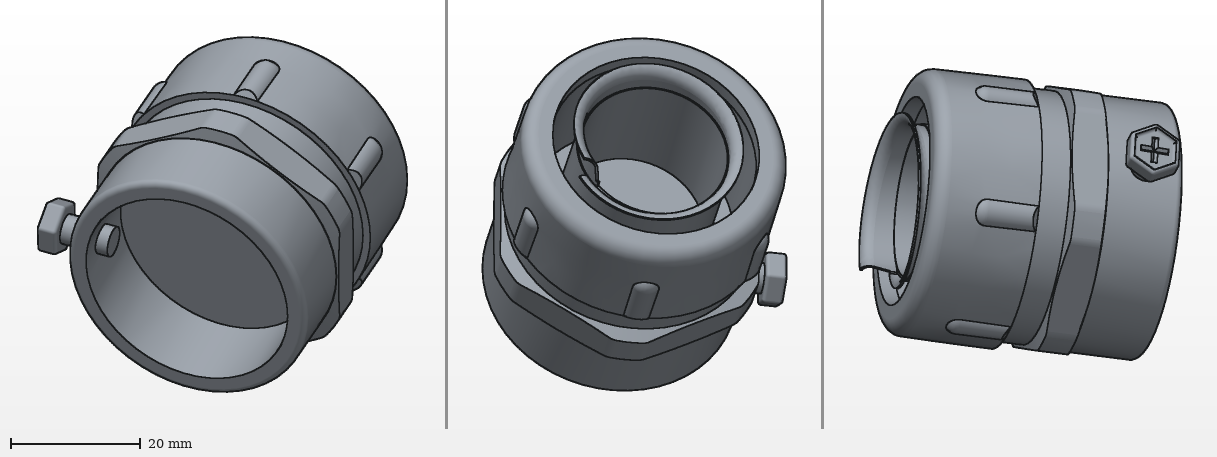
import cadquery as cq
import math


tube_radius = 40.1 / 2
tube_fillet = 1.0
bore_radius = 33.95 / 2
bore_depth = 13.35
flange_front = 11.95
flange_back = 17.95
flange_across_flats = 40.65
flange_radius = 44.15 / 2
flange_edge_fillet = 2.85
flange_chamfer_length = 0.55
flange_chamfer_radius = 20.0
neck_radius = 39.6 / 2
mouth_radius = 32.5 / 2

cap_front = 22.8
cap_back = 39.5
cap_front_radius = 21.0
cap_back_radius = 20.85
cap_fillet = 2.35
cap_lip_thickness = 2.65
neck_back = cap_back - cap_lip_thickness
rib_count = 6
rib_radius = 5.0 / 2
rib_top_radius = 21.9
rib_shoulder = 30.95
rib_end_fillet = 1.9

screw_y = 6.05
screw_radius = 4.8 / 2
screw_tip_x = -14.95
head_inner_x = -22.95
head_outer_x = -26.2
head_across_flats = 7.85
head_turn = 3.0
head_fillet = 0.55
head_rim = 0.65
dish_depth = 0.5
dish_fillet = 0.45
cross_length = 4.4
cross_width = 1.0
cross_depth = 0.5

ferrule_radius = 12.05
ferrule_wall = 0.35
ferrule_base = flange_back
collar_step = 0.2
flare_radius = 1.5
flare_pitch = 4.68
flare_end_y = 43.35
flare_end_angle = 29.0
flare_skirt = 3.55
flare_overrun = 12.0
end_cut_z = -6.25
end_cut_slope = 17.0
end_cut_depth = 4.05
end_cut_inner_x = 7.1


def revolved(points):
    """Solid of revolution about Y from (radius, y) corner points."""
    return cq.Workplane("XY").polyline(points).close().revolve(360, (0, 0, 0), (0, 1, 0))


def cylinder(radius, y_start, y_end):
    """Cylinder on the main axis between two Y positions."""
    return revolved([(0, y_start), (radius, y_start), (radius, y_end), (0, y_end)])


def make_screw_shaft():
    return cq.Workplane("YZ", origin=(head_inner_x, screw_y, 0)).circle(screw_radius).extrude(
        screw_tip_x - head_inner_x
    )


def make_flange():
    """Hexagon with six rounded-off corners, two of them at +Z and -Z, bevelled on both ends."""
    thickness = flange_back - flange_front
    corner_diameter = flange_across_flats / math.cos(math.pi / 6)
    hexagon = (
        cq.Workplane("XZ", origin=(0, flange_back, 0))
        .polygon(6, corner_diameter)
        .extrude(thickness)
        .rotate((0, 0, 0), (0, 1, 0), 30)
    )
    blank = hexagon.intersect(cylinder(flange_radius, flange_front, flange_back))
    blank = blank.edges("|Y").fillet(flange_edge_fillet)
    bevels = revolved([
        (0, flange_front),
        (flange_chamfer_radius, flange_front),
        (flange_radius, flange_front + flange_chamfer_length),
        (flange_radius, flange_back - flange_chamfer_length),
        (flange_chamfer_radius, flange_back),
        (0, flange_back),
    ])
    return blank.intersect(bevels)


def make_housing():
    tube = cylinder(tube_radius, 0, flange_front).faces("<Y").edges().fillet(tube_fillet)
    neck = cylinder(neck_radius, flange_front, neck_back)
    body = tube.union(neck).union(make_flange())
    front_bore = cylinder(bore_radius, 0, bore_depth)
    back_socket = cylinder(mouth_radius, flange_back, neck_back)
    return body.cut(front_bore).cut(back_socket).cut(make_screw_shaft())


def make_rib(angle):
    """Round-backed grip rib with a domed back end, standing on the cap at an angle from +Z."""
    axis_radius = rib_top_radius - rib_radius
    rib_back = rib_shoulder + rib_end_fillet
    bar = (
        cq.Workplane("XZ", origin=(0, rib_back, axis_radius))
        .circle(rib_radius)
        .extrude(rib_back - cap_front)
    )
    bar = bar.faces(">Y").edges().fillet(rib_end_fillet)
    return bar.rotate((0, 0, 0), (0, 1, 0), angle)


def make_cap():
    shell = revolved([
        (0, cap_front),
        (cap_front_radius, cap_front),
        (cap_back_radius, cap_back),
        (0, cap_back),
    ])
    shell = shell.faces(">Y").edges().fillet(cap_fillet)
    bevel_run = cap_back - cap_front
    rib_bevel = revolved([
        (0, cap_front),
        (cap_front_radius, cap_front),
        (cap_front_radius + bevel_run, cap_back),
        (0, cap_back),
    ])
    for i in range(rib_count):
        shell = shell.union(make_rib(i * 360 / rib_count).intersect(rib_bevel))
    neck_bore = cylinder(neck_radius, cap_front, neck_back)
    mouth = cylinder(mouth_radius, neck_back, cap_back)
    return shell.cut(neck_bore).cut(mouth)


def hexagon_bar(across_flats, x_start, x_end):
    """Hexagonal bar along X on the screw axis, corners at +Z and -Z."""
    return (
        cq.Workplane("YZ", origin=(x_start, screw_y, 0))
        .transformed(rotate=(0, 0, 90))
        .polygon(6, across_flats / math.cos(math.pi / 6))
        .extrude(x_end - x_start)
    )


def make_cross_groove(direction):
    """V-groove in the dished floor of the screw head, along Y or Z."""
    floor_x = head_outer_x + dish_depth
    groove = (
        cq.Workplane("XY", origin=(0, 0, -cross_length / 2))
        .polyline([(0, -cross_width / 2), (cross_depth, 0), (0, cross_width / 2)])
        .close()
        .extrude(cross_length)
    )
    if direction == "Y":
        groove = groove.rotate((0, 0, 0), (1, 0, 0), 90)
    return groove.translate((floor_x, screw_y, 0))


def make_screw():
    head = hexagon_bar(head_across_flats, head_outer_x, head_inner_x).edges().fillet(head_fillet)
    dish = hexagon_bar(head_across_flats - 2 * head_rim, head_outer_x, head_outer_x + dish_depth)
    dish = dish.faces(">X").edges().fillet(dish_fillet)
    head = head.cut(dish)
    for direction in ("Y", "Z"):
        head = head.cut(make_cross_groove(direction))
    head = head.rotate((0, screw_y, 0), (1, screw_y, 0), head_turn)
    return head.union(make_screw_shaft())


def make_end_cut():
    """Wedge that trims the raised end of the flare to a sloping face."""
    bottom_y = flare_end_y - end_cut_depth
    bottom_z = end_cut_z - end_cut_depth * math.tan(math.radians(end_cut_slope))
    outer_reach = ferrule_radius + 2 * flare_radius
    return (
        cq.Workplane("YZ", origin=(end_cut_inner_x, 0, 0))
        .polyline([
            (bottom_y, bottom_z),
            (flare_end_y, end_cut_z),
            (flare_end_y + flare_pitch, end_cut_z),
            (flare_end_y + flare_pitch, -outer_reach),
            (bottom_y, -outer_reach),
        ])
        .close()
        .extrude(outer_reach - end_cut_inner_x)
    )


def make_ferrule():
    """Thin strip with a flared rim, just over one helical turn long, on a thicker collar.

    It is made along Z and then turned so that Z becomes Y.
    """
    inner_radius = ferrule_radius - ferrule_wall
    inner_flare = flare_radius + ferrule_wall
    rim_radius = ferrule_radius + flare_radius
    rim_start_z = flare_end_y - flare_pitch
    flare_start_z = rim_start_z - inner_flare
    skirt_z = flare_start_z - flare_skirt
    bend = math.sqrt(0.5)
    section = (
        cq.Workplane("XZ")
        .moveTo(ferrule_radius, skirt_z)
        .lineTo(ferrule_radius, flare_start_z)
        .threePointArc(
            (rim_radius - flare_radius * bend, flare_start_z + flare_radius * bend),
            (rim_radius, flare_start_z + flare_radius),
        )
        .lineTo(rim_radius, rim_start_z)
        .threePointArc(
            (rim_radius - inner_flare * bend, flare_start_z + inner_flare * bend),
            (inner_radius, flare_start_z),
        )
        .lineTo(inner_radius, skirt_z)
        .close()
    )
    helix_height = flare_pitch * (1 + flare_overrun / 360)
    helix = cq.Wire.makeHelix(flare_pitch, helix_height, ferrule_radius, cq.Vector(0, 0, flare_start_z))
    flare = section.sweep(cq.Workplane(obj=helix), isFrenet=True)
    collar_top = skirt_z + flare_pitch
    collar = (
        cq.Workplane("XY", origin=(0, 0, ferrule_base))
        .circle(ferrule_radius + collar_step)
        .circle(inner_radius - collar_step)
        .extrude(collar_top - ferrule_base)
    )
    ferrule = collar.union(flare).rotate((0, 0, 0), (0, 0, 1), flare_end_angle)
    return ferrule.rotate((0, 0, 0), (1, 0, 0), -90).cut(make_end_cut())


housing = make_housing()
cap = make_cap()
screw = make_screw()
ferrule = make_ferrule()

result = cq.Compound.makeCompound([
    housing.solids().val(),
    cap.solids().val(),
    screw.solids().val(),
    ferrule.solids().val(),
])